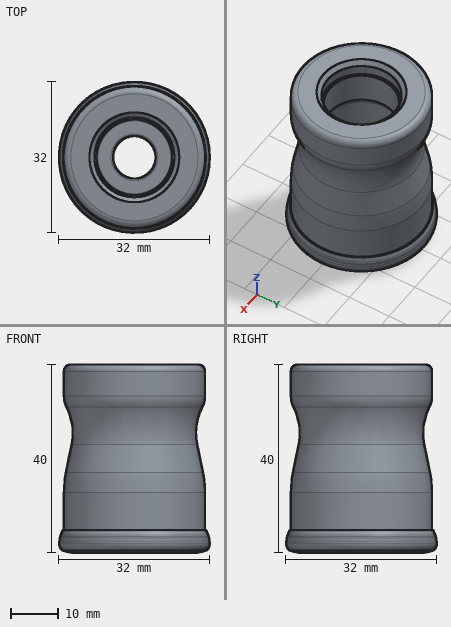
import cadquery as cq
import math

HEIGHT = 40.0
FOOT_RADIUS = 16.0

BARREL_RADIUS = 15.0
TOP_ROUND = 1.5
NECK_RADIUS = 13.1
NECK_Z = 25.5
NECK_ARC = 12.0
SHOULDER_ARC = 5.0
HIP_ARC = 21.0
HIP_Z = 12.85

MOUTH_RADIUS = 8.5
MOUTH_DEPTH = 3.5
MOUTH_CHAMFER = 1.05
BORE_RADIUS = 8.0
BORE_DEPTH = 10.95
CHAMBER_RADIUS = 8.6
ROOF_TAPER = 25.0
ROOF_ROUND = 0.5
FLOOR_ROUND = 0.9
FLOOR_THICKNESS = 2.0
HOLE_RADIUS = 4.5
HOLE_ROUND = 0.5

FOOT_BASE = 1.0
LIP_Z = 4.9
LIP_WIDTH = 0.15
LIP_BEVEL_WIDTH = 0.1
LIP_BEVEL_HEIGHT = 0.15
FLARE_RADIUS = 15.65
FLARE_Z = 3.9
SIDE_RADIUS = 15.8
SIDE_Z = 3.5
MIDDLE_RADIUS = 15.85
MIDDLE_Z = 3.25
BAND_RADIUS = 15.9
BAND_Z = 2.65
ROUND_START_Z = 2.15
FOOT_ROUND = 2.0
FOOT_ROUND_END_Z = 0.6
HEEL_RADIUS = 14.4
HEEL_Z = 0.3
SOLE_RADIUS = 12.8


def on_circle(center, radius, angle):
    """Point on a circle in the (radius, height) plane, angle in radians."""
    return (center[0] + radius * math.cos(angle), center[1] + radius * math.sin(angle))


def revolve(profile):
    """Turn a closed (radius, height) profile about the Z axis."""
    return profile.close().revolve(360, (0, 0, 0), (0, 1, 0))


def housing_outside():
    """Solid barrel; shoulder, neck, flank and hip meet tangentially."""
    drop = BARREL_RADIUS - NECK_RADIUS
    neck_center = (NECK_RADIUS + NECK_ARC, NECK_Z)

    shoulder_turn = math.acos(1 - drop / (SHOULDER_ARC + NECK_ARC))
    shoulder_z = NECK_Z + (SHOULDER_ARC + NECK_ARC) * math.sin(shoulder_turn)
    shoulder_center = (BARREL_RADIUS - SHOULDER_ARC, shoulder_z)

    hip_center = (BARREL_RADIUS - HIP_ARC, HIP_Z)
    run = neck_center[0] - hip_center[0]
    rise = neck_center[1] - hip_center[1]
    center_distance = math.hypot(run, rise)
    flank_turn = math.atan2(rise, run) - math.acos((HIP_ARC + NECK_ARC) / center_distance)

    profile = (
        cq.Workplane("XZ")
        .moveTo(0, FOOT_BASE)
        .lineTo(BARREL_RADIUS, FOOT_BASE)
        .lineTo(BARREL_RADIUS, HIP_Z)
        .threePointArc(on_circle(hip_center, HIP_ARC, flank_turn / 2), on_circle(hip_center, HIP_ARC, flank_turn))
        .lineTo(*on_circle(neck_center, NECK_ARC, math.pi + flank_turn))
        .threePointArc((NECK_RADIUS, NECK_Z), on_circle(neck_center, NECK_ARC, math.pi - shoulder_turn))
        .threePointArc(
            on_circle(shoulder_center, SHOULDER_ARC, -shoulder_turn / 2),
            (BARREL_RADIUS, shoulder_z),
        )
        .lineTo(BARREL_RADIUS, HEIGHT)
        .lineTo(0, HEIGHT)
    )
    return revolve(profile).faces(">Z").edges().fillet(TOP_ROUND)


def housing_cavity():
    """Through hole, rounded chamber, bore and chamfered mouth as one turned cavity."""
    floor_z = FOOT_BASE + FLOOR_THICKNESS
    roof_z = HEIGHT - BORE_DEPTH
    ledge_z = HEIGHT - MOUTH_DEPTH

    rim_center = (HOLE_RADIUS + HOLE_ROUND, floor_z - HOLE_ROUND)
    corner_center = (CHAMBER_RADIUS - FLOOR_ROUND, floor_z + FLOOR_ROUND)

    taper = math.radians(ROOF_TAPER)
    sharp_corner_z = roof_z - (CHAMBER_RADIUS - BORE_RADIUS) / math.tan(taper)
    round_center = (CHAMBER_RADIUS - ROOF_ROUND, sharp_corner_z - ROOF_ROUND * math.tan(taper / 2))

    profile = (
        cq.Workplane("XZ")
        .moveTo(0, FOOT_BASE)
        .lineTo(HOLE_RADIUS, FOOT_BASE)
        .lineTo(HOLE_RADIUS, rim_center[1])
        .threePointArc(on_circle(rim_center, HOLE_ROUND, 3 * math.pi / 4), (rim_center[0], floor_z))
        .lineTo(corner_center[0], floor_z)
        .threePointArc(on_circle(corner_center, FLOOR_ROUND, -math.pi / 4), (CHAMBER_RADIUS, corner_center[1]))
        .lineTo(CHAMBER_RADIUS, round_center[1])
        .threePointArc(on_circle(round_center, ROOF_ROUND, taper / 2), on_circle(round_center, ROOF_ROUND, taper))
        .lineTo(BORE_RADIUS, roof_z)
        .lineTo(BORE_RADIUS, ledge_z)
        .lineTo(MOUTH_RADIUS, ledge_z)
        .lineTo(MOUTH_RADIUS, HEIGHT - MOUTH_CHAMFER)
        .lineTo(MOUTH_RADIUS + MOUTH_CHAMFER, HEIGHT)
        .lineTo(0, HEIGHT)
    )
    return revolve(profile)


def make_housing():
    return housing_outside().cut(housing_cavity())


def make_foot():
    round_center = (FOOT_RADIUS - FOOT_ROUND, ROUND_START_Z)
    round_turn = math.asin((ROUND_START_Z - FOOT_ROUND_END_Z) / FOOT_ROUND)
    lip_radius = BARREL_RADIUS + LIP_WIDTH
    profile = (
        cq.Workplane("XZ")
        .moveTo(HOLE_RADIUS, 0)
        .lineTo(SOLE_RADIUS, 0)
        .lineTo(HEEL_RADIUS, HEEL_Z)
        .lineTo(*on_circle(round_center, FOOT_ROUND, -round_turn))
        .threePointArc(on_circle(round_center, FOOT_ROUND, -round_turn / 2), (FOOT_RADIUS, ROUND_START_Z))
        .lineTo(BAND_RADIUS, BAND_Z)
        .lineTo(MIDDLE_RADIUS, MIDDLE_Z)
        .lineTo(SIDE_RADIUS, SIDE_Z)
        .lineTo(FLARE_RADIUS, FLARE_Z)
        .lineTo(lip_radius + LIP_BEVEL_WIDTH, LIP_Z - LIP_BEVEL_HEIGHT)
        .lineTo(lip_radius, LIP_Z)
        .lineTo(BARREL_RADIUS, LIP_Z)
        .lineTo(BARREL_RADIUS, FOOT_BASE)
        .lineTo(HOLE_RADIUS, FOOT_BASE)
    )
    return revolve(profile)


housing = make_housing()
foot = make_foot()

result = cq.Compound.makeCompound([housing.val(), foot.val()])